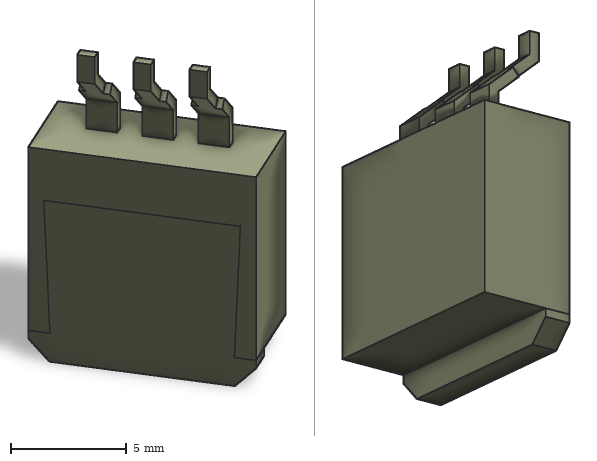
import cadquery as cq
import math

package_width = 10.3
package_depth = 4.6
package_height = 15.1

housing_bottom = 1.39
housing_top = 10.3

tab_thickness = 1.3
tab_top = 7.8
tab_top_width = 8.88
tab_neck_width = 8.34
tab_chamfer_width = 0.97
tab_chamfer_height = 1.0

lead_count = 3
lead_pitch = 2.54
lead_thickness = 0.5
lead_root_width = 1.4
lead_tip_width = 0.8
lead_root_front = 2.42
lead_bend_height = 1.46
lead_slope_angle = 40.0
lead_wide_run = 1.43

slope = math.radians(lead_slope_angle)
bend_front_z = housing_top + lead_bend_height
bend_shift = lead_thickness * math.tan((math.pi / 2 - slope) / 2)
lead_rise = lead_root_front * math.tan(slope)

step_front = (
    lead_root_front - lead_wide_run * math.cos(slope),
    bend_front_z + lead_wide_run * math.sin(slope),
)
step_back = (
    step_front[0] + lead_thickness * math.sin(slope),
    step_front[1] + lead_thickness * math.cos(slope),
)


def extrude_across(profile, width, center_x):
    """Extrude a closed (y, z) profile along X, centred on center_x."""
    return cq.Workplane("YZ", origin=(center_x, 0, 0)).polyline(profile).close().extrude(width / 2, both=True)


def make_tab():
    """Tab with a chamfered lower end and a dovetail neck set into the housing."""
    half_width = package_width / 2
    right_side = [
        (half_width - tab_chamfer_width, 0),
        (half_width, tab_chamfer_height),
        (half_width, housing_bottom),
        (tab_neck_width / 2, housing_bottom),
        (tab_top_width / 2, tab_top),
    ]
    left_side = [(-x, z) for x, z in reversed(right_side)]
    outline = cq.Workplane("XZ").polyline(right_side + left_side).close()
    return outline.extrude(-tab_thickness)


def make_lead(center_x):
    """Lead that rises, slopes to the mounting face and ends in a narrow upright tip."""
    root_back = lead_root_front + lead_thickness
    root_profile = [
        (lead_root_front, housing_top),
        (lead_root_front, bend_front_z),
        step_front,
        step_back,
        (root_back, bend_front_z + bend_shift),
        (root_back, housing_top),
    ]
    tip_bend_z = bend_front_z + lead_rise
    tip_profile = [
        step_front,
        (0, tip_bend_z),
        (0, package_height),
        (lead_thickness, package_height),
        (lead_thickness, tip_bend_z + bend_shift),
        step_back,
    ]
    root = extrude_across(root_profile, lead_root_width, center_x)
    tip = extrude_across(tip_profile, lead_tip_width, center_x)
    return root.union(tip)


def make_housing(tab):
    """Housing block with its leads and a recess that fits the tab neck."""
    body = cq.Workplane("XY", origin=(0, 0, housing_bottom)).box(
        package_width, package_depth, housing_top - housing_bottom, centered=(True, False, False)
    )
    body = body.cut(tab)
    for index in range(lead_count):
        center_x = (index - (lead_count - 1) / 2) * lead_pitch
        body = body.union(make_lead(center_x))
    return body


tab = make_tab()
housing = make_housing(tab)

result = cq.Compound.makeCompound([housing.solids().val(), tab.val()])